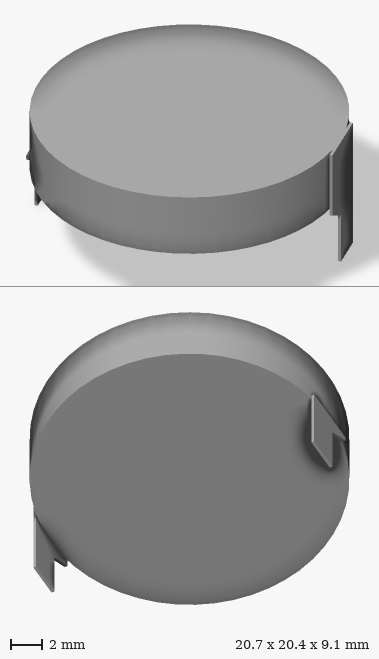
import cadquery as cq

overall_length = 20.7
body_diameter = 20.45
body_height = 4.28

terminal_thickness = 0.2
terminal_width = 4.05
pin_width = 2.35
pin_length = 4.82
shoulder_height = 0.31
pin_root_depth = 1.3


def terminal(inner_x, top_z):
    """Flat terminal with its inner face at inner_x; the body underside is at Z = 0."""
    pin_side = terminal_width / 2
    shoulder_side = -terminal_width / 2
    pin_edge = pin_side - pin_width
    return (
        cq.Workplane("YZ", origin=(inner_x, 0, 0))
        .moveTo(pin_side, top_z)
        .lineTo(pin_side, -pin_length)
        .lineTo(pin_edge, -pin_length)
        .lineTo(pin_edge, -pin_root_depth)
        .lineTo(shoulder_side, -shoulder_height)
        .lineTo(shoulder_side, top_z)
        .close()
        .extrude(terminal_thickness)
    )


body = cq.Workplane("XY").circle(body_diameter / 2).extrude(body_height)

lower_terminal = terminal(-overall_length / 2, 0)
tall_terminal = terminal(overall_length / 2 - terminal_thickness, body_height)

result = body.union(lower_terminal).union(tall_terminal)